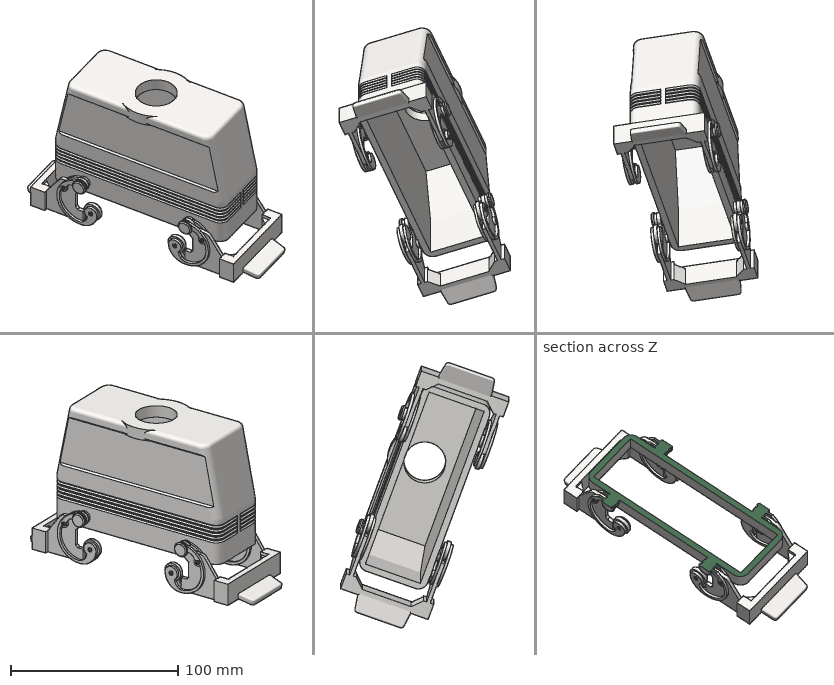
import cadquery as cq
import math

HOOD_LENGTH = 120.0
HOOD_WIDTH = 43.0
HOOD_HEIGHT = 76.0
HOOD_TOP_LENGTH = 101.0
CORNER_RADIUS = 6.0
TOP_ROUND = 2.6
SHOULDER_Z = 29.2
SHOULDER_BLEND = 0.75
END_SLOPE = math.atan2((HOOD_LENGTH - HOOD_TOP_LENGTH) / 2, HOOD_HEIGHT - SHOULDER_Z)
WALL = 4.0
ROOF = 7.5

PANEL_DEPTH = 1.1
PANEL_BOTTOM = 36.7
PANEL_TOP = 69.9

ENTRY_DIAMETER = 25.0
ENTRY_BOSS_RADIUS = 22.4

GROOVE_COUNT = 5
GROOVE_PITCH = 2.43
GROOVE_HEIGHT = 1.85
GROOVE_DEPTH = 0.75
GROOVE_FIRST_Z = 14.3
GROOVE_GAP = 3.0

CHEEK_INNER_Y = 21.8
PLATE_INNER_Y = 23.3
PLATE_OUTER_Y = 25.6
CHEEK_OUTER_Y = 27.3
KNOB_OUTER_Y = 29.0

PIVOT_X = -37.0
PIVOT_Z = 7.4
KNOB_RADIUS = 4.5
PIVOT_EYE_RADIUS = 4.2
KNOB_CHAMFER = 0.7
HOOK_CENTER_Z = -5.2
HOOK_RADIUS = 16.0
HOOK_INNER_RADIUS = 14.2
ROLLER_X = -29.4
ROLLER_Z = -10.3
ROLLER_RADIUS = 5.7
ROLLER_CHEEK_RADIUS = 4.4
RIVET_X = -48.5
RIVET_Z = 1.7
RIVET_EYE_RADIUS = 2.4
RIVET_HOLE_RADIUS = 0.9
RIVET_COUNTERSINK = 0.5
RIVET_HOLE_DEPTH = 1.0

ARM_SLOPE_TOP = (-52.6, 5.0)
ARM_CREST_MIDDLE = (-51.4, 6.1)
ARM_CREST_END = (-50.0, 6.6)
ARM_NECK = (-36.3, 3.1)
ARM_INNER_X = -40.9
ARM_INNER_TOP = -0.8
ARM_FOOT_TOP = -12.2
ARM_FOOT_X = -35.6
ARM_FOOT_CHAMFER = 1.5
ARM_OVERLAP = 1.0

HOOK_TURN = (-27.9, -17.5)
HOOK_MOUTH = (-31.9, -14.0)
HOOK_MOUTH_BEND = (-33.2, -17.2)
HOOK_RIVET_LOWER = (-50.3, -0.2)
HOOK_RIVET_UPPER = (-46.4, 1.2)
HOOK_FLARE_MIDDLE = (-45.0, 5.2)
HOOK_FLARE_END = (-41.2, 6.4)

BAR_OUTER_X = -70.9
BAR_INNER_X = -61.0
BAR_THICKNESS = 4.0
BAR_WIDTH = 55.6
BAR_TOP = -6.6
BAR_BOTTOM = -20.6
BAR_END_INNER_Y = 21.4
GUSSET_DROP = 2.0

TAB_TIP_X = -81.395
TAB_TIP_Z = -23.08
TAB_ANGLE = 14.0
TAB_THICKNESS = 3.6
TAB_ROOT_WIDTH = 34.4
TAB_TIP_WIDTH = 30.6
TAB_CORNER_RADIUS = 2.0
TAB_EDGE_ROUND = 0.8


def box(x0, x1, y0, y1, z0, z1):
    block = cq.Workplane("XY").box(x1 - x0, y1 - y0, z1 - z0, centered=False)
    return block.translate((x0, y0, z0))


def between(outline, y0, y1):
    """Extrude an XZ outline from y0 to y1."""
    return outline.extrude(y0 - y1).translate((0, y0, 0))


def disc(x, z, radius, y0, y1):
    return between(cq.Workplane("XZ").center(x, z).circle(radius), y0, y1)


def both_sides(solid, plane):
    return solid.union(solid.mirror(plane))


def hood_half_profile():
    """+X half of the hood's XZ outline; a tangent arc blends the upright end into its slope."""
    half_length = HOOD_LENGTH / 2
    blend_radius = SHOULDER_BLEND / math.tan(END_SLOPE / 2)
    blend_start_z = SHOULDER_Z - SHOULDER_BLEND
    center_x = half_length - blend_radius

    def on_blend(angle):
        return (center_x + blend_radius * math.cos(angle), blend_start_z + blend_radius * math.sin(angle))

    return (
        cq.Workplane("XZ")
        .lineTo(half_length, 0)
        .lineTo(half_length, blend_start_z)
        .threePointArc(on_blend(END_SLOPE / 2), on_blend(END_SLOPE))
        .lineTo(HOOD_TOP_LENGTH / 2, HOOD_HEIGHT)
        .lineTo(0, HOOD_HEIGHT)
        .close()
    )


def hood_shell():
    half = between(hood_half_profile(), -HOOD_WIDTH / 2, HOOD_WIDTH / 2)
    half = half.edges("(not |Y) and (not |X) and (not <X)").fillet(CORNER_RADIUS)
    body = both_sides(half, "YZ").clean()
    return body.faces(">Z").edges().fillet(TOP_ROUND)


def panel_recess():
    face_y = -HOOD_WIDTH / 2
    outline = cq.Workplane("YZ").polyline([
        (face_y, PANEL_BOTTOM),
        (face_y + PANEL_DEPTH, PANEL_BOTTOM + PANEL_DEPTH),
        (face_y + PANEL_DEPTH, PANEL_TOP - PANEL_DEPTH),
        (face_y, PANEL_TOP),
    ]).close()
    return both_sides(outline.extrude(HOOD_LENGTH / 2, both=True), "XZ")


def rounded_plan(inset):
    """Hood plan outline moved inward by an even distance."""
    plan = cq.Sketch().rect(HOOD_LENGTH - 2 * inset, HOOD_WIDTH - 2 * inset)
    return plan.vertices().fillet(CORNER_RADIUS - inset)


def grip_grooves():
    """V-shaped grooves, interrupted in the middle of each end."""
    half_height = GROOVE_HEIGHT / 2
    slant = math.degrees(math.atan2(GROOVE_DEPTH, half_height))
    wall = cq.Workplane("XY").placeSketch(rounded_plan(0)).extrude(GROOVE_HEIGHT)
    upper_core = (
        cq.Workplane("XY").workplane(offset=half_height)
        .placeSketch(rounded_plan(GROOVE_DEPTH)).extrude(half_height, taper=-slant)
    )
    lower_core = upper_core.mirror("XY", (0, 0, half_height))
    gap = cq.Workplane("XY").rect(HOOD_LENGTH, GROOVE_GAP).extrude(GROOVE_HEIGHT)
    groove = wall.cut(lower_core).cut(upper_core).cut(gap)
    grooves = cq.Workplane("XY")
    for index in range(GROOVE_COUNT):
        grooves = grooves.add(groove.translate((0, 0, GROOVE_FIRST_Z + index * GROOVE_PITCH)))
    return grooves.combine()


def cavity():
    """Inside of the hood, open at the bottom, with ends sloping like the outside."""
    half_bottom = HOOD_LENGTH / 2 - WALL
    half_top = HOOD_TOP_LENGTH / 2 - WALL + ROOF * math.tan(END_SLOPE)
    outline = cq.Workplane("XZ").polyline([
        (-half_bottom, 0),
        (half_bottom, 0),
        (half_bottom, SHOULDER_Z),
        (half_top, HOOD_HEIGHT - ROOF),
        (-half_top, HOOD_HEIGHT - ROOF),
        (-half_bottom, SHOULDER_Z),
    ]).close()
    half_width = HOOD_WIDTH / 2 - WALL
    return between(outline, -half_width, half_width)


def finished_hood():
    boss_bottom = PANEL_TOP - PANEL_DEPTH
    boss = (
        cq.Workplane("XY").workplane(offset=boss_bottom)
        .circle(ENTRY_BOSS_RADIUS).extrude(HOOD_HEIGHT - boss_bottom)
    )
    entry = cq.Workplane("XY").circle(ENTRY_DIAMETER / 2).extrude(HOOD_HEIGHT)
    body = hood_shell().cut(panel_recess()).cut(grip_grooves())
    return body.union(boss).cut(cavity()).cut(entry)


def lever_plate():
    """Middle layer: the arm from the cross bar to the pivot."""
    arm = (
        cq.Workplane("XZ")
        .moveTo(BAR_INNER_X - ARM_OVERLAP, BAR_BOTTOM)
        .lineTo(BAR_INNER_X - ARM_OVERLAP, BAR_TOP)
        .lineTo(BAR_INNER_X, BAR_TOP)
        .lineTo(*ARM_SLOPE_TOP)
        .threePointArc(ARM_CREST_MIDDLE, ARM_CREST_END)
        .lineTo(PIVOT_X, PIVOT_Z)
        .lineTo(*ARM_NECK)
        .lineTo(ARM_INNER_X, ARM_INNER_TOP)
        .lineTo(ARM_INNER_X, ARM_FOOT_TOP + ARM_FOOT_CHAMFER)
        .lineTo(ARM_INNER_X + ARM_FOOT_CHAMFER, ARM_FOOT_TOP)
        .lineTo(ARM_FOOT_X, ARM_FOOT_TOP)
        .lineTo(ARM_FOOT_X, BAR_BOTTOM)
        .close()
    )
    roller = disc(ROLLER_X, ROLLER_Z, ROLLER_RADIUS, PLATE_INNER_Y, PLATE_OUTER_Y)
    pivot_eye = disc(PIVOT_X, PIVOT_Z, PIVOT_EYE_RADIUS, PLATE_INNER_Y, PLATE_OUTER_Y)
    return between(arm, PLATE_INNER_Y, PLATE_OUTER_Y).union(roller).union(pivot_eye)


def hook_cheek(y0, y1):
    """Crescent strip running from the pivot around to the roller."""
    hook_bottom = HOOK_CENTER_Z - HOOK_RADIUS
    crescent = (
        cq.Workplane("XZ")
        .moveTo(PIVOT_X, HOOK_CENTER_Z + HOOK_RADIUS)
        .threePointArc((PIVOT_X - HOOK_RADIUS, HOOK_CENTER_Z), (PIVOT_X, hook_bottom))
        .threePointArc(HOOK_TURN, (ROLLER_X + ROLLER_CHEEK_RADIUS, ROLLER_Z))
        .lineTo(ROLLER_X, ROLLER_Z)
        .lineTo(*HOOK_MOUTH)
        .threePointArc(HOOK_MOUTH_BEND, (PIVOT_X, HOOK_CENTER_Z - HOOK_INNER_RADIUS))
        .threePointArc((PIVOT_X - HOOK_INNER_RADIUS, HOOK_CENTER_Z), HOOK_RIVET_LOWER)
        .lineTo(*HOOK_RIVET_UPPER)
        .threePointArc(HOOK_FLARE_MIDDLE, HOOK_FLARE_END)
        .lineTo(PIVOT_X, PIVOT_Z)
        .close()
    )
    cheek = between(crescent, y0, y1)
    cheek = cheek.union(disc(ROLLER_X, ROLLER_Z, ROLLER_CHEEK_RADIUS, y0, y1))
    return cheek.union(disc(RIVET_X, RIVET_Z, RIVET_EYE_RADIUS, y0, y1))


def pivot_knob():
    """Pin anchored in the hood wall, ending in a chamfered head."""
    pin_start_y = HOOD_WIDTH / 2 - WALL / 2
    pin = disc(PIVOT_X, PIVOT_Z, KNOB_RADIUS - KNOB_CHAMFER, pin_start_y, CHEEK_OUTER_Y)
    head = disc(PIVOT_X, PIVOT_Z, KNOB_RADIUS, CHEEK_OUTER_Y, KNOB_OUTER_Y)
    return pin.union(head.faces(">Y").chamfer(KNOB_CHAMFER))


def rivet_hole(x, z):
    """Blind hole in the outer cheek, countersunk at its mouth."""
    mouth_radius = RIVET_HOLE_RADIUS + RIVET_COUNTERSINK
    hole = disc(x, z, RIVET_HOLE_RADIUS, CHEEK_OUTER_Y - RIVET_HOLE_DEPTH, CHEEK_OUTER_Y)
    mouth = cq.Solid.makeCone(
        mouth_radius,
        RIVET_HOLE_RADIUS,
        RIVET_COUNTERSINK,
        pnt=cq.Vector(x, CHEEK_OUTER_Y, z),
        dir=cq.Vector(0, -1, 0),
    )
    return hole.union(cq.Workplane(mouth))


def lever_side():
    side = lever_plate()
    side = side.union(hook_cheek(CHEEK_INNER_Y, PLATE_INNER_Y))
    side = side.union(hook_cheek(PLATE_OUTER_Y, CHEEK_OUTER_Y))
    for x, z in [(ROLLER_X, ROLLER_Z), (RIVET_X, RIVET_Z)]:
        side = side.cut(rivet_hole(x, z))
    return side.union(pivot_knob())


def cross_bar():
    web_inner_x = BAR_OUTER_X + BAR_THICKNESS
    half = BAR_WIDTH / 2
    web = box(BAR_OUTER_X, web_inner_x, -half, half, BAR_BOTTOM, BAR_TOP)
    end_block = box(BAR_OUTER_X, BAR_INNER_X, BAR_END_INNER_Y, half, BAR_BOTTOM, BAR_TOP)
    gusset_leg = BAR_INNER_X - web_inner_x
    gusset = (
        cq.Workplane("XY").workplane(offset=BAR_BOTTOM)
        .polyline([
            (web_inner_x, BAR_END_INNER_Y),
            (BAR_INNER_X, BAR_END_INNER_Y),
            (web_inner_x, BAR_END_INNER_Y - gusset_leg),
        ]).close()
        .extrude(BAR_TOP - GUSSET_DROP - BAR_BOTTOM)
    )
    return web.union(both_sides(end_block.union(gusset), "XZ"))


def finger_tab():
    """Tab sloping down and outward, modelled flat with its tip at the origin and then tilted."""
    length = (BAR_OUTER_X + BAR_THICKNESS / 2 - TAB_TIP_X) / math.cos(math.radians(TAB_ANGLE))
    tab = (
        cq.Workplane("XY").polyline([
            (0, -TAB_TIP_WIDTH / 2),
            (length, -TAB_ROOT_WIDTH / 2),
            (length, TAB_ROOT_WIDTH / 2),
            (0, TAB_TIP_WIDTH / 2),
        ]).close()
        .extrude(TAB_THICKNESS)
    )
    tab = tab.edges("|Z and <X").fillet(TAB_CORNER_RADIUS)
    tab = tab.faces("<Z or >Z").edges("not >X").fillet(TAB_EDGE_ROUND)
    tab = tab.rotate((0, 0, 0), (0, 1, 0), -TAB_ANGLE)
    bounds = tab.val().BoundingBox()
    return tab.translate((TAB_TIP_X - bounds.xmin, 0, TAB_TIP_Z - bounds.zmin))


def lever():
    return both_sides(lever_side(), "XZ").union(cross_bar()).union(finger_tab())


result = finished_hood().union(both_sides(lever(), "YZ"))